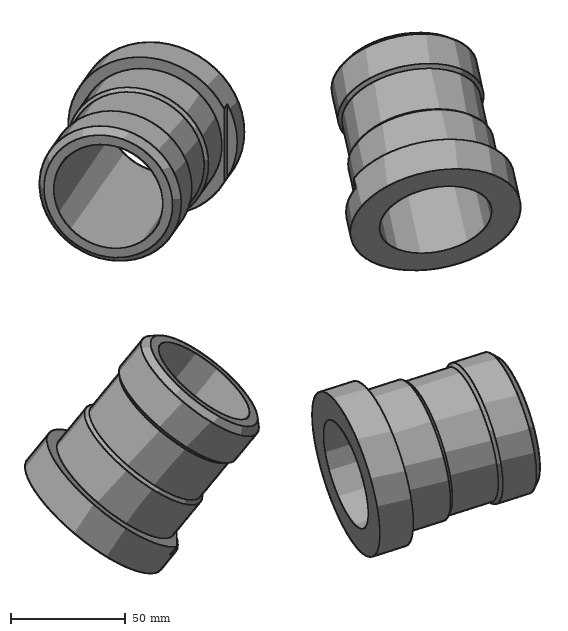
import cadquery as cq

total_length = 80.0
flange_diameter = 76.0
flange_thickness = 16.0
body_diameter = 65.0
bore_diameter = 50.0
end_chamfer = 3.0

groove_diameter = 62.0
groove_front = 19.0
groove_width = 25.0

flat_offset = 33.5
flat_length = 5.0

flange_radius = flange_diameter / 2
body_radius = body_diameter / 2
bore_radius = bore_diameter / 2
groove_radius = groove_diameter / 2
groove_depth = body_radius - groove_radius
groove_back = groove_front + groove_width
flange_front = total_length - flange_thickness


def bushing_body():
    """Revolve the (radius, position along Y) half section about the Y axis."""
    return (
        cq.Workplane("XY")
        .moveTo(bore_radius, 0)
        .lineTo(body_radius - end_chamfer, 0)
        .lineTo(body_radius, end_chamfer)
        .lineTo(body_radius, groove_front)
        .lineTo(groove_radius, groove_front + groove_depth)
        .lineTo(groove_radius, groove_back - groove_depth)
        .lineTo(body_radius, groove_back)
        .lineTo(body_radius, flange_front)
        .lineTo(flange_radius, flange_front)
        .lineTo(flange_radius, total_length)
        .lineTo(bore_radius, total_length)
        .close()
        .revolve(360, (0, 0, 0), (0, 1, 0))
    )


def flange_flat_cutter():
    """Block that removes the flange rim outside the locating flat."""
    return cq.Workplane("XY").box(
        flange_radius, flat_length, flange_diameter, centered=(False, False, True)
    ).translate((flat_offset, flange_front, 0))


result = bushing_body().cut(flange_flat_cutter())